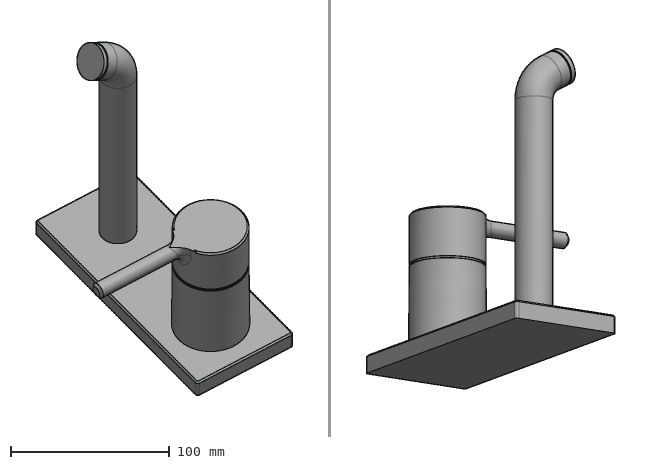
import cadquery as cq
import math

PLATE_LENGTH = 175.0
PLATE_DEPTH = 75.0
PLATE_THICKNESS = 12.0
PLATE_CORNER_RADIUS = 1.9
PLATE_TOP_CHAMFER = 1.1
COLUMN_OFFSET = 50.0

TOTAL_HEIGHT = 189.5
SPOUT_DIAMETER = 24.0
SPOUT_RADIUS = SPOUT_DIAMETER / 2
BEND_START_HEIGHT = 154.1
BEND_RADIUS = 22.0
BEND_ANGLE = 60.0
NOZZLE_CAP_LENGTH = 3.2
NOZZLE_GROOVE_WIDTH = 0.5
NOZZLE_GROOVE_DEPTH = 0.4

MIXER_HEIGHT = 100.6
MIXER_FOOT_DIAMETER = 49.5
MIXER_FOOT_RADIUS = MIXER_FOOT_DIAMETER / 2
MIXER_RADIUS = 24.3
MIXER_GROOVE_HEIGHT = 66.7
MIXER_GROOVE_WIDTH = 1.3
MIXER_GROOVE_DEPTH = 0.5
MIXER_RIM_CHAMFER = 1.1

LEVER_DIAMETER = 10.5
LEVER_RADIUS = LEVER_DIAMETER / 2
LEVER_END_Y = -88.9
LEVER_END_CHAMFER = 1.7
LEVER_AXIS_HEIGHT = MIXER_HEIGHT - LEVER_RADIUS

NECK_FILLET = 7.5
RIM_END_Y = -20.5


def make_plate():
    plate = cq.Workplane("XY").box(
        PLATE_LENGTH, PLATE_DEPTH, PLATE_THICKNESS, centered=(True, True, False)
    )
    plate = plate.edges("|Z").fillet(PLATE_CORNER_RADIUS)
    return plate.faces(">Z").chamfer(PLATE_TOP_CHAMFER)


def make_spout():
    angle = math.radians(BEND_ANGLE)
    bend_end_y = -BEND_RADIUS * (1 - math.cos(angle))
    bend_end_z = BEND_START_HEIGHT + BEND_RADIUS * math.sin(angle)
    tip_z = TOTAL_HEIGHT - SPOUT_RADIUS * math.sin(angle)
    nozzle_length = (tip_z - bend_end_z) / math.cos(angle)

    upright = cq.Workplane("XY").circle(SPOUT_RADIUS).extrude(BEND_START_HEIGHT)
    bend = (
        cq.Workplane("XY", origin=(0, 0, BEND_START_HEIGHT))
        .circle(SPOUT_RADIUS)
        .revolve(BEND_ANGLE, (0, -BEND_RADIUS, 0), (1, -BEND_RADIUS, 0))
    )
    nozzle_plane = cq.Plane(
        origin=(0, bend_end_y, bend_end_z),
        xDir=(1, 0, 0),
        normal=(0, -math.sin(angle), math.cos(angle)),
    )
    nozzle = cq.Workplane(nozzle_plane).circle(SPOUT_RADIUS).extrude(nozzle_length)
    groove_start = nozzle_length - NOZZLE_CAP_LENGTH - NOZZLE_GROOVE_WIDTH
    groove = (
        cq.Workplane(nozzle_plane)
        .workplane(offset=groove_start)
        .circle(SPOUT_RADIUS + NOZZLE_GROOVE_DEPTH)
        .circle(SPOUT_RADIUS - NOZZLE_GROOVE_DEPTH)
        .extrude(NOZZLE_GROOVE_WIDTH)
    )
    return upright.union(bend).union(nozzle.cut(groove))


def make_lever():
    return (
        cq.Workplane("XZ", origin=(0, 0, LEVER_AXIS_HEIGHT))
        .circle(LEVER_RADIUS)
        .extrude(-LEVER_END_Y)
        .faces("<Y")
        .chamfer(LEVER_END_CHAMFER)
    )


def make_rim_cutter():
    chamfer_profile = [
        (MIXER_RADIUS - MIXER_RIM_CHAMFER, MIXER_HEIGHT),
        (MIXER_RADIUS + MIXER_RIM_CHAMFER, MIXER_HEIGHT),
        (MIXER_RADIUS + MIXER_RIM_CHAMFER, MIXER_HEIGHT - 2 * MIXER_RIM_CHAMFER),
        (MIXER_RADIUS, MIXER_HEIGHT - MIXER_RIM_CHAMFER),
    ]
    ring = cq.Workplane("XZ").polyline(chamfer_profile).close().revolve(360, (0, 0), (0, 1))
    neck_clearance = cq.Workplane("XY").box(
        4 * MIXER_RADIUS, MIXER_RADIUS, 2 * TOTAL_HEIGHT, centered=(True, False, True)
    )
    return ring.cut(neck_clearance.translate((0, RIM_END_Y - MIXER_RADIUS, 0)))


def make_mixer():
    groove_top = MIXER_GROOVE_HEIGHT + MIXER_GROOVE_WIDTH
    groove_radius = MIXER_RADIUS - MIXER_GROOVE_DEPTH
    head_top = 2 * LEVER_AXIS_HEIGHT - groove_top

    head = (
        cq.Workplane("XY", origin=(0, 0, groove_top))
        .circle(MIXER_RADIUS)
        .extrude(head_top - groove_top)
        .union(make_lever())
    )
    root_edges = head.edges(
        cq.selectors.BoxSelector(
            (-MIXER_RADIUS, -MIXER_RADIUS - LEVER_RADIUS, LEVER_AXIS_HEIGHT - LEVER_RADIUS),
            (MIXER_RADIUS, -MIXER_RADIUS + LEVER_RADIUS, LEVER_AXIS_HEIGHT + LEVER_RADIUS),
        )
    )
    head = root_edges.fillet(NECK_FILLET)
    above_top = (
        cq.Workplane("XY", origin=(0, 0, MIXER_HEIGHT))
        .rect(4 * MIXER_RADIUS, -4 * LEVER_END_Y)
        .extrude(MIXER_HEIGHT)
    )
    head = head.cut(above_top).cut(make_rim_cutter())

    body_profile = [
        (0, 0),
        (MIXER_FOOT_RADIUS, 0),
        (MIXER_FOOT_RADIUS, PLATE_THICKNESS),
        (MIXER_RADIUS, MIXER_GROOVE_HEIGHT),
        (groove_radius, MIXER_GROOVE_HEIGHT),
        (groove_radius, groove_top),
        (0, groove_top),
    ]
    body = cq.Workplane("XZ").polyline(body_profile).close().revolve(360, (0, 0), (0, 1))
    return body.union(head)


mixer = make_mixer()
spout = make_spout()

result = (
    make_plate()
    .union(spout.translate((-COLUMN_OFFSET, 0, 0)))
    .union(mixer.translate((COLUMN_OFFSET, 0, 0)))
)